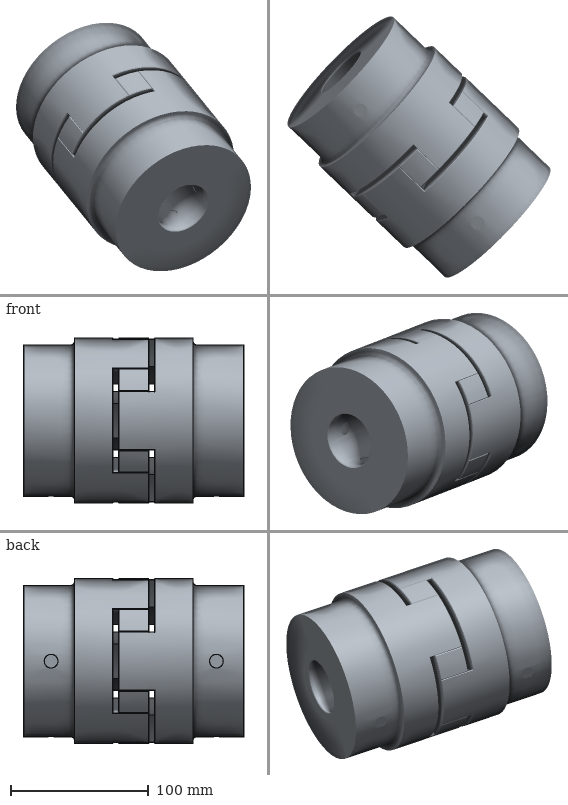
import cadquery as cq
import math

LENGTH = 160.0
JAW_DIAMETER = 120.0
BARREL_DIAMETER = 110.0
BORE_DIAMETER = 40.0
SHOULDER_X = 43.0
SHOULDER_FILLET = 2.5

JAWS_PER_HUB = 3
SPIDER_THICKNESS = 22.0
JAW_GAP = 4.0
JAW_INNER_RADIUS = 40.0
JAW_FLANK_RADIUS = 40.0
JAW_OUTER_HALF_ANGLE = 21.0
JAW_INNER_HALF_ANGLE = 18.4

EDGE_BREAK = 0.5

SCREW_DIAMETER = 10.0
SCREW_END_DISTANCE = 20.0
SCREW_ANGLES = (0, 90)

jaw_radius = JAW_DIAMETER / 2
bore_radius = BORE_DIAMETER / 2
jaw_tip_x = SPIDER_THICKNESS / 2
hub_face_x = jaw_tip_x + JAW_GAP
jaw_pitch = 360 / JAWS_PER_HUB
screw_x = LENGTH / 2 - SCREW_END_DISTANCE
screw_outer_radius = math.sqrt(BARREL_DIAMETER ** 2 - SCREW_DIAMETER ** 2) / 2


def polar(radius, angle):
    """Point in the YZ plane at an angle from +Y toward +Z."""
    return (radius * math.cos(math.radians(angle)), radius * math.sin(math.radians(angle)))


def flank(jaw_angle, side):
    """Inner, middle and outer points of a concave jaw flank; side picks the +1 or -1 flank."""
    inner = polar(JAW_INNER_RADIUS, jaw_angle + side * JAW_INNER_HALF_ANGLE)
    outer = polar(jaw_radius, jaw_angle + side * JAW_OUTER_HALF_ANGLE)
    chord = math.dist(inner, outer)
    sagitta = JAW_FLANK_RADIUS - math.sqrt(JAW_FLANK_RADIUS ** 2 - (chord / 2) ** 2)
    scoop = side * sagitta / chord
    middle = (
        (inner[0] + outer[0]) / 2 + scoop * (outer[1] - inner[1]),
        (inner[1] + outer[1]) / 2 - scoop * (outer[0] - inner[0]),
    )
    return inner, middle, outer


def jaw_space(jaw_angle, start_x, length):
    """Cutter for the space between the jaw at jaw_angle and the next jaw of the same hub."""
    next_angle = jaw_angle + jaw_pitch
    inner, middle, outer = flank(jaw_angle, 1)
    next_inner, next_middle, next_outer = flank(next_angle, -1)
    clear_radius = 2 * jaw_radius
    return (
        cq.Workplane("YZ", origin=(start_x, 0, 0))
        .lineTo(*inner)
        .threePointArc(middle, outer)
        .lineTo(*polar(clear_radius, jaw_angle + JAW_OUTER_HALF_ANGLE))
        .threePointArc(
            polar(clear_radius, jaw_angle + jaw_pitch / 2),
            polar(clear_radius, next_angle - JAW_OUTER_HALF_ANGLE),
        )
        .lineTo(*next_outer)
        .threePointArc(next_middle, next_inner)
        .close()
        .extrude(length)
    )


def on_jaw_rim(edge):
    """True for an edge on the outer jaw surface, within the span between the hub faces."""
    tolerance = 0.02
    for point in (edge.startPoint(), edge.endPoint()):
        if abs(point.x) > hub_face_x + tolerance:
            return False
        if abs(math.hypot(point.y, point.z) - jaw_radius) > tolerance:
            return False
    return True


def break_rim_edges(body):
    """Chamfer the outer edges of the jaws or lobes."""
    return body.edges().filter(on_jaw_rim).chamfer(EDGE_BREAK)


def radial_rod(side, angle, inner_radius, outer_radius):
    """Round rod pointing outward from the axis, at an angle from +Y toward -Z."""
    return (
        cq.Workplane("XZ", origin=(side * screw_x, inner_radius, 0))
        .circle(SCREW_DIAMETER / 2)
        .extrude(inner_radius - outer_radius)
        .rotate((0, 0, 0), (1, 0, 0), -angle)
    )


def make_hub(side, first_jaw_angle):
    """Hub on the -X (side -1) or +X (side +1) half, with its jaws and screw holes."""
    end_x = side * LENGTH / 2
    shoulder_x = side * SHOULDER_X
    face_x = side * hub_face_x
    tip_x = -side * jaw_tip_x
    barrel_radius = BARREL_DIAMETER / 2
    arc_drop = SHOULDER_FILLET * (1 - math.sqrt(0.5))
    hub = (
        cq.Workplane("XZ")
        .moveTo(end_x - side * EDGE_BREAK, bore_radius)
        .lineTo(end_x, bore_radius + EDGE_BREAK)
        .lineTo(end_x, barrel_radius)
        .lineTo(shoulder_x + side * SHOULDER_FILLET, barrel_radius)
        .threePointArc(
            (shoulder_x + side * arc_drop, barrel_radius + arc_drop),
            (shoulder_x, barrel_radius + SHOULDER_FILLET),
        )
        .lineTo(shoulder_x, jaw_radius)
        .lineTo(tip_x, jaw_radius)
        .lineTo(tip_x, JAW_INNER_RADIUS)
        .lineTo(face_x, JAW_INNER_RADIUS)
        .lineTo(face_x, bore_radius)
        .close()
        .revolve(360, (0, 0, 0), (1, 0, 0))
    )
    for index in range(JAWS_PER_HUB):
        hub = hub.cut(jaw_space(first_jaw_angle + index * jaw_pitch, face_x, tip_x - face_x))
    hub = break_rim_edges(hub)
    for angle in SCREW_ANGLES:
        hub = hub.cut(radial_rod(side, angle, 0, jaw_radius))
    return hub


def make_spider():
    """Elastic ring whose six lobes fill the spaces between the jaws."""
    half_pitch = jaw_pitch / 2
    outline = cq.Workplane("YZ", origin=(-jaw_tip_x, 0, 0)).moveTo(*flank(0, -1)[2])
    for index in range(2 * JAWS_PER_HUB):
        jaw_angle = index * half_pitch
        near_inner, near_middle, _ = flank(jaw_angle, -1)
        far_inner, far_middle, far_outer = flank(jaw_angle, 1)
        next_outer = flank(jaw_angle + half_pitch, -1)[2]
        outline = (
            outline.threePointArc(near_middle, near_inner)
            .threePointArc(polar(JAW_INNER_RADIUS, jaw_angle), far_inner)
            .threePointArc(far_middle, far_outer)
            .threePointArc(polar(jaw_radius, jaw_angle + half_pitch / 2), next_outer)
        )
    ring = outline.close().extrude(SPIDER_THICKNESS)
    bore = cq.Workplane("YZ", origin=(-jaw_tip_x, 0, 0)).circle(bore_radius).extrude(SPIDER_THICKNESS)
    return break_rim_edges(ring).cut(bore)


left_hub = make_hub(-1, 0)
right_hub = make_hub(1, jaw_pitch / 2)
spider = make_spider()
set_screws = [
    radial_rod(side, angle, bore_radius, screw_outer_radius)
    for side in (-1, 1)
    for angle in SCREW_ANGLES
]

result = cq.Compound.makeCompound(
    [left_hub.val(), right_hub.val(), spider.val(), *[screw.val() for screw in set_screws]]
)